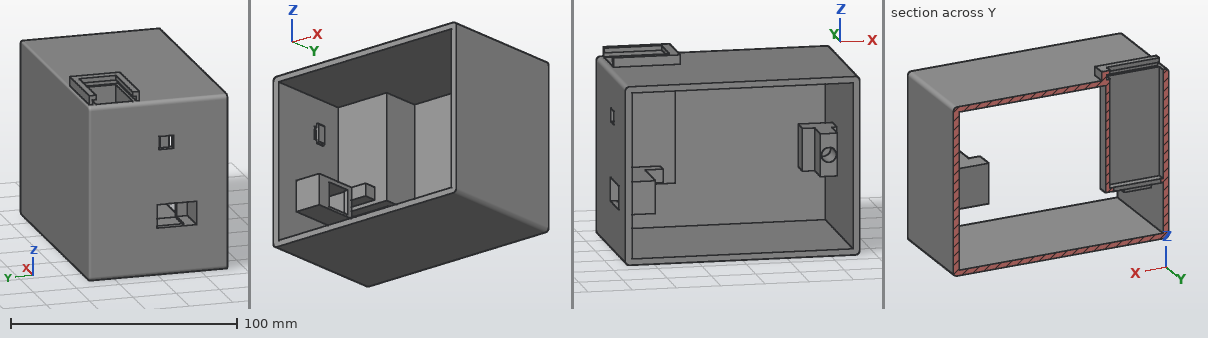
import cadquery as cq

width = 106.0
depth = 64.0
height = 81.0
side_wall = 3.1
flat_wall = 2.9
back_wall = 4.0
corner_radius = 2.0
back_fillet = 1.1

frame_length = 30.1
frame_width = 23.1
frame_height = 4.2
frame_y = depth - back_fillet - frame_width / 2
lip_height = 2.1
lip_opening_length = 25.9
lip_opening_width = 17.0
groove_depth = 1.6

chamber_bottom = 26.9
chamber_wall = 2.0
chamber_length = 28.1
chamber_width = lip_opening_width + 2 * chamber_wall
chamber_front = frame_y - chamber_width / 2
floor_opening_x = 4.1
floor_opening_length = 23.0
floor_opening_width = 9.8

housing_length = 13.1
housing_z = 20.1
housing_height = 14.8
housing_wall = 2.0
housing_end_wall = 2.0
housing_end = side_wall + housing_length
window_y = 14.3
window_width = 18.2
slot_y = 19.3
slot_width = 12.5
slot_drop = 0.8

block_length = 21.2
block_height = 6.0

opening_y = 24.8
opening_z = 58.4
opening_width = 6.9
opening_height = 6.0
strap_width = 4.0
strap_recess = 0.5
strap_rise = 1.3
strap_height = 9.4
strap_chamfer = 0.6

post_z = 31.0
post_height = 19.4
base_x = 87.5
base_y = 35.3
base_depth = 9.2
arm_x = 93.0
arm_width = 7.7
arm_y = 23.0
screw_diameter = 6.7


def block(x, y, z, dx, dy, dz):
    """Box with its lowest corner at (x, y, z)."""
    return cq.Workplane("XY").box(dx, dy, dz, centered=False).translate((x, y, z))


def case_shell():
    outer = block(0, 0, 0, width, depth, height).edges("|Y").fillet(corner_radius)
    outer = outer.faces(">Y").edges().fillet(back_fillet)
    cavity = block(
        side_wall, 0, flat_wall,
        width - 2 * side_wall, depth - back_wall, height - 2 * flat_wall,
    )
    return outer.cut(cavity)


def lid_frame():
    frame = block(side_wall, frame_y - frame_width / 2, height, frame_length, frame_width, frame_height)
    lip = block(
        side_wall, frame_y - lip_opening_width / 2, height,
        lip_opening_length, lip_opening_width, frame_height,
    )
    groove_width = lip_opening_width + 2 * groove_depth
    groove = block(
        side_wall, frame_y - groove_width / 2, height,
        lip_opening_length + groove_depth, groove_width, frame_height - lip_height,
    )
    return frame.cut(lip).cut(groove)


def chamber():
    return block(
        side_wall, chamber_front, chamber_bottom,
        chamber_length, chamber_width, height - flat_wall - chamber_bottom,
    )


def chamber_hollow():
    floor_z = chamber_bottom + chamber_wall
    pocket = block(
        side_wall, frame_y - lip_opening_width / 2, floor_z,
        lip_opening_length, lip_opening_width, height - floor_z,
    )
    floor_opening = block(
        floor_opening_x, frame_y - floor_opening_width / 2, chamber_bottom,
        floor_opening_length, floor_opening_width, chamber_wall,
    )
    return pocket.union(floor_opening)


def housing():
    return block(
        side_wall, window_y - housing_wall, housing_z,
        housing_length, window_width + 2 * housing_wall, housing_height,
    )


def housing_hollow():
    window_z = housing_z + housing_wall
    window_height = housing_height - 2 * housing_wall
    window = block(0, window_y, window_z, housing_end - housing_end_wall, window_width, window_height)
    slot = block(
        side_wall, slot_y, window_z - slot_drop,
        housing_length, slot_width, window_height + slot_drop,
    )
    return window.union(slot)


def chamber_block():
    front = window_y + window_width + housing_wall
    return block(
        side_wall, front, housing_z + housing_height - block_height,
        block_length, chamber_front - front, block_height,
    )


def strap():
    thickness = strap_recess + strap_rise
    body = block(
        side_wall - strap_recess, opening_y + (opening_width - strap_width) / 2,
        opening_z + (opening_height - strap_height) / 2,
        thickness, strap_width, strap_height,
    )
    return body.faces(">X").edges("|Y").chamfer(strap_chamfer)


def strap_opening():
    return block(0, opening_y, opening_z, side_wall, opening_width, opening_height)


def screw_post():
    base = block(base_x, base_y, post_z, width - side_wall - base_x, base_depth, post_height)
    arm = block(arm_x, arm_y, post_z, arm_width, base_y - arm_y, post_height)
    hole = (
        cq.Workplane("XZ", origin=(arm_x + arm_width / 2, arm_y, post_z + post_height / 2))
        .circle(screw_diameter / 2)
        .extrude(arm_y - base_y)
    )
    return base.union(arm).cut(hole)


result = case_shell().union(lid_frame()).union(chamber()).union(housing()).union(chamber_block())
result = result.cut(chamber_hollow()).cut(housing_hollow())
result = result.cut(strap_opening()).union(strap()).union(screw_post())